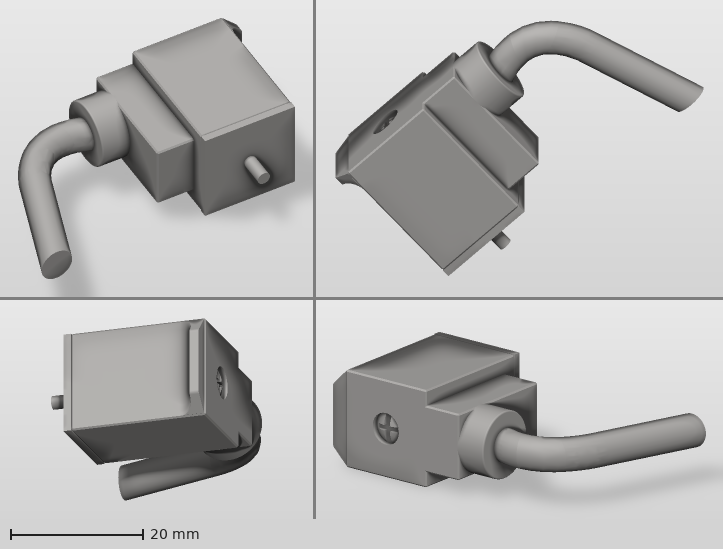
import cadquery as cq
import math

BODY_SIDE = 15.55
HALF_BODY = BODY_SIDE / 2
BODY_LENGTH = 21.5
EDGE_BEVEL = 0.25

STEP_LENGTH = 19.25
STEP_HEIGHT = 10.6
STEP_DEPTH = 6.3
STEP_FRONT = -HALF_BODY - STEP_DEPTH

COVER_THICKNESS = 1.2
COVER_END = BODY_LENGTH + COVER_THICKNESS
PIN_DIAMETER = 2.1
PIN_LENGTH = 4.3

TAB_OFFSET = 0.2
TAB_THICKNESS = 1.5
TAB_REACH = 2.6
TAB_FILLET = 2.25
TAB_HALF_WIDTH = HALF_BODY - EDGE_BEVEL
TAB_BEVEL = 2.55
TAB_CORNER_RADIUS = 0.75

SCREW_RADIUS = 2.55
SCREW_RECESS = 1.0
DOME_HEIGHT = 0.8
SLOT_DEPTH = 0.8
WIDE_SLOT_WIDTH = 1.1
NARROW_SLOT_WIDTH = 0.85
NARROW_SLOT_LENGTH = 3.75

COLLAR_DIAMETER = 10.7
COLLAR_LENGTH = 4.7
COLLAR_EDGE_RADIUS = 0.25
COLLAR_X = COLLAR_DIAMETER / 2
COLLAR_FRONT = STEP_FRONT - COLLAR_LENGTH

CABLE_DIAMETER = 5.35
CABLE_START_HEADING = -110
CABLE_BENDS = [(11.15, -90), (7.45, -45), (12.9, -18.8)]
CABLE_STRAIGHT = 17.45


def box(x0, x1, y0, y1, height):
    """Box between two X and two Y limits, centred on Z = 0."""
    return cq.Workplane("XY").box(x1 - x0, y1 - y0, height).translate(((x0 + x1) / 2, (y0 + y1) / 2, 0))


def make_housing():
    body = box(0, BODY_LENGTH, -HALF_BODY, HALF_BODY, BODY_SIDE)
    step = box(0, STEP_LENGTH, STEP_FRONT, 0, STEP_HEIGHT)
    return body.edges().chamfer(EDGE_BEVEL).union(step.edges().chamfer(EDGE_BEVEL))


def make_cover_and_pin():
    cover = box(BODY_LENGTH, COVER_END, -HALF_BODY, HALF_BODY, BODY_SIDE)
    pin = cq.Workplane("YZ", origin=(COVER_END, 0, 0)).circle(PIN_DIAMETER / 2).extrude(PIN_LENGTH)
    return cover.union(pin)


def make_tab():
    """Tab with a concave root fillet and bevelled end corners."""
    root = HALF_BODY - EDGE_BEVEL
    tip = HALF_BODY + TAB_REACH
    inner = TAB_OFFSET + TAB_THICKNESS
    bow = TAB_FILLET * (1 - math.sqrt(0.5))
    profile = (
        cq.Workplane("XY")
        .moveTo(TAB_OFFSET, root)
        .lineTo(TAB_OFFSET, tip)
        .lineTo(inner, tip)
        .lineTo(inner, HALF_BODY + TAB_FILLET)
        .threePointArc((inner + bow, HALF_BODY + bow), (inner + TAB_FILLET, HALF_BODY))
        .lineTo(inner + TAB_FILLET, root)
        .close()
        .extrude(TAB_HALF_WIDTH, both=True)
    )
    outline = (
        cq.Workplane("YZ")
        .polyline([
            (root, -TAB_HALF_WIDTH),
            (tip - TAB_BEVEL, -TAB_HALF_WIDTH),
            (tip, TAB_BEVEL - TAB_HALF_WIDTH),
            (tip, TAB_HALF_WIDTH - TAB_BEVEL),
            (tip - TAB_BEVEL, TAB_HALF_WIDTH),
            (root, TAB_HALF_WIDTH),
        ])
        .close()
        .extrude(BODY_LENGTH)
        .edges(">Y and |X")
        .fillet(TAB_CORNER_RADIUS)
    )
    return profile.intersect(outline)


def make_screw_recess():
    """Material removed around and inside the screw head."""
    recess = cq.Workplane("YZ").circle(SCREW_RADIUS).extrude(SCREW_RECESS)
    sphere_radius = (SCREW_RADIUS ** 2 + DOME_HEIGHT ** 2) / (2 * DOME_HEIGHT)
    dome_top = SCREW_RECESS - DOME_HEIGHT
    dome = cq.Workplane("XY").sphere(sphere_radius).translate((dome_top + sphere_radius, 0, 0))
    slot_floor = dome_top + SLOT_DEPTH
    wide_slot = box(0, slot_floor, -WIDE_SLOT_WIDTH / 2, WIDE_SLOT_WIDTH / 2, 2 * SCREW_RADIUS)
    narrow_slot = box(0, slot_floor, -NARROW_SLOT_LENGTH / 2, NARROW_SLOT_LENGTH / 2, NARROW_SLOT_WIDTH)
    slots = wide_slot.union(narrow_slot).intersect(recess)
    return recess.cut(dome).union(slots)


def make_collar():
    collar = cq.Workplane("XZ", origin=(COLLAR_X, STEP_FRONT + EDGE_BEVEL, 0))
    collar = collar.circle(COLLAR_DIAMETER / 2).extrude(COLLAR_LENGTH + EDGE_BEVEL)
    return collar.faces("<Y").edges().fillet(COLLAR_EDGE_RADIUS)


def make_cable():
    """Cable whose end faces keep the tilt they have at the collar."""

    def arc_point(x, y, radius, heading, turn):
        """Point reached from (x, y) by turning left along an arc."""
        first = math.radians(heading)
        last = math.radians(heading + turn)
        return (
            x + radius * (math.sin(last) - math.sin(first)),
            y - radius * (math.cos(last) - math.cos(first)),
        )

    x, y, heading = COLLAR_X, COLLAR_FRONT, CABLE_START_HEADING
    path = cq.Workplane("XY").moveTo(x, y)
    for radius, end_heading in CABLE_BENDS:
        turn = end_heading - heading
        middle = arc_point(x, y, radius, heading, turn / 2)
        x, y = arc_point(x, y, radius, heading, turn)
        path = path.threePointArc(middle, (x, y))
        heading = end_heading
    direction = math.radians(heading)
    path = path.line(CABLE_STRAIGHT * math.cos(direction), CABLE_STRAIGHT * math.sin(direction))
    section = cq.Workplane("XZ", origin=(COLLAR_X, COLLAR_FRONT, 0)).circle(CABLE_DIAMETER / 2)
    return section.sweep(path)


result = (
    make_housing()
    .union(make_cover_and_pin())
    .union(make_tab())
    .cut(make_screw_recess())
    .union(make_collar())
    .union(make_cable())
)